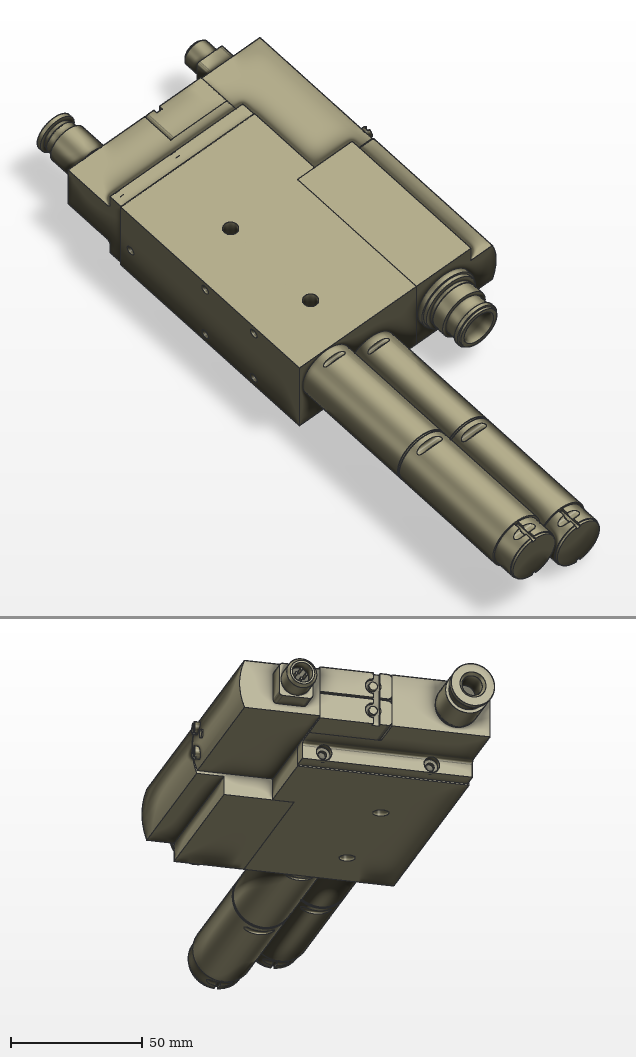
import cadquery as cq
import math


total_length = 277.2
thickness = 36.0
total_width = 101.2

housing_start_x = 54.3
housing_end_x = 157.5
housing_width = 68.0
mount_hole_d = 6.0
mount_hole_xs = (89.8, 135.8)
mount_hole_y = 24.7
side_hole_d = 4.0
side_hole_depth = 5.5
side_hole_xs = (103.0, 131.0)
side_hole_z = 13.9
single_side_hole_x = 60.2
single_side_hole_z = -3.5

face_x = 23.5
cap_inset = 0.5
stem_thickness = 21.0
flange_x = 47.7
neck_fillet = 1.7
screw_hole_d = 6.0
screw_hole_depth = 2.5
screw_socket_d = 3.3
screw_socket_depth = 1.7
screw_z = 14.0
upper_screw_ys = (4.5, 32.7)
lower_screw_ys = (16.5, 59.3)

recess_end_x = 38.5
recess_y = 39.5
insert_corner_r = 1.7
insert_slot = 0.8
insert_slot_depth = 1.5
clamp_groove_y = 45.5
clamp_groove_width = 2.8
clamp_groove_depth = 1.7
clamp_screw_d = 6.0
clamp_pin_d = 3.3
clamp_screw_y = 46.8
clamp_screw_z = 5.0

fitting_y = 14.0
fitting_d = 17.2
fitting_neck_d = 14.5
fitting_groove_d = 13.3
fitting_root_d = 16.4
fitting_flange_end_x = 2.0
fitting_groove_end_x = 4.0
fitting_neck_end_x = 7.8
fitting_body_end_x = 22.0
fitting_bore_d = 8.0
fitting_bore_depth = 11.0
fitting_mouth_chamfer = 1.0

side_edge_y = 97.9
side_wall_y = 99.8
module_end_x = 88.1
module_thickness = 19.5
plug_y = 79.8
plug_base_size = 13.3
plug_base_start_x = 15.2
plug_base_fillet = 1.5
plug_tip_x = 6.5
plug_d = 12.0
plug_tip_chamfer = 1.0
plug_bore_d = 8.0
plug_bore_depth = 5.5
plug_pin_d = 1.0
plug_pin_circle_r = 2.0
plug_pin_count = 4
plug_pin_length = 4.2
button_d = 5.0
button_x = 82.0
button_z = 5.0
button_slot = 1.7
button_slot_depth = 0.8
lamp_d = 3.3
lamp_x = 75.0
lamp_height = 0.5

drive_start_x = 89.0
bar_thickness = 21.0
block_start_y = 59.3
block_end_y = 87.0
socket_y = 73.2
socket_steps = (
    (26.5, 2.5),
    (25.0, 1.7),
    (21.0, 1.7),
    (21.5, 5.8),
    (18.3, 5.8),
    (20.0, 1.7),
    (18.3, 1.0),
)
socket_bore_d = 15.0
socket_bore_depth = 8.3

tube_d = 23.8
tube_centres = ((13.5, 5.5), (36.0, -5.5))
tube_joint_x = 212.0
tube_joint_width = 0.8
tube_joint_depth = 0.3
tube_end_d = 22.2
tube_end_x = 267.0
tube_rim_width = 1.0
tube_rim_depth = 0.42
tube_notches = (
    (162.2, 2.2, 1.25),
    (217.0, 3.3, 1.7),
    (271.7, 4.2, 2.08),
)
end_slot_width = 1.7
end_slot_depth = 1.5


def block(x0, x1, y0, y1, z0, z1):
    return cq.Workplane("XY").box(x1 - x0, y1 - y0, z1 - z0, centered=False).translate((x0, y0, z0))


def level_block(x0, x1, y0, y1, height):
    """Block centred on Z = 0."""
    return block(x0, x1, y0, y1, -height / 2, height / 2)


def rod_x(x0, x1, y, z, diameter):
    return cq.Workplane("YZ", origin=(x0, y, z)).circle(diameter / 2).extrude(x1 - x0)


def rod_y(y0, y1, x, z, diameter):
    return cq.Workplane("XZ", origin=(x, y0, z)).circle(diameter / 2).extrude(y0 - y1)


def make_housing():
    body = level_block(housing_start_x, housing_end_x, 0, housing_width, thickness)
    body = body.cut(level_block(drive_start_x, housing_end_x, block_start_y, housing_width, thickness))
    for x in mount_hole_xs:
        hole = cq.Workplane("XY", origin=(x, mount_hole_y, -thickness / 2))
        body = body.cut(hole.circle(mount_hole_d / 2).extrude(thickness))
    side_holes = [(x, z) for x in side_hole_xs for z in (-side_hole_z, side_hole_z)]
    side_holes.append((single_side_hole_x, single_side_hole_z))
    for x, z in side_holes:
        body = body.cut(rod_y(0, side_hole_depth, x, z, side_hole_d))
    return body


def make_fitting():
    steps = (
        (0, fitting_flange_end_x, fitting_d),
        (fitting_flange_end_x, fitting_groove_end_x, fitting_groove_d),
        (fitting_groove_end_x, fitting_neck_end_x, fitting_neck_d),
        (fitting_neck_end_x, fitting_body_end_x, fitting_d),
        (fitting_body_end_x, face_x, fitting_root_d),
    )
    fitting = rod_x(0, face_x, fitting_y, 0, fitting_groove_d)
    for x0, x1, diameter in steps:
        fitting = fitting.union(rod_x(x0, x1, fitting_y, 0, diameter))
    fitting = fitting.cut(rod_x(0, fitting_bore_depth, fitting_y, 0, fitting_bore_d))
    mouth_edge = cq.selectors.RadiusNthSelector(0)
    return fitting.faces("<X").edges(mouth_edge).chamfer(fitting_mouth_chamfer)


def make_end_cap():
    flange_thickness = thickness - 2 * cap_inset
    stem = level_block(face_x, housing_start_x, cap_inset, housing_width, stem_thickness)
    flange = level_block(flange_x, housing_start_x, cap_inset, housing_width, flange_thickness)
    cap = stem.union(flange)
    stem_z = stem_thickness / 2
    for z in (-stem_z, stem_z):
        corner = cq.selectors.NearestToPointSelector((flange_x, housing_width / 2, z))
        cap = cap.edges(corner).fillet(neck_fillet)
    cap = cap.cut(level_block(face_x, recess_end_x, recess_y, housing_width, stem_thickness))
    screws = [(y, screw_z) for y in upper_screw_ys] + [(y, -screw_z) for y in lower_screw_ys]
    socket_x = flange_x + screw_hole_depth
    for y, z in screws:
        cap = cap.cut(rod_x(flange_x - neck_fillet, socket_x, y, z, screw_hole_d))
        cap = cap.cut(rod_x(socket_x, socket_x + screw_socket_depth, y, z, screw_socket_d))
    return cap.union(make_fitting())


def make_insert():
    insert = level_block(face_x, recess_end_x, recess_y, housing_width, stem_thickness)
    slot_end_x = face_x + insert_slot_depth
    insert = insert.cut(level_block(face_x, slot_end_x, recess_y, housing_width, insert_slot))
    insert = insert.edges("|X and <Y").fillet(insert_corner_r)
    groove_end_x = face_x + clamp_groove_depth
    groove_y0 = clamp_groove_y - clamp_groove_width / 2
    groove_y1 = clamp_groove_y + clamp_groove_width / 2
    insert = insert.cut(level_block(face_x, groove_end_x, groove_y0, groove_y1, stem_thickness))
    for z in (-clamp_screw_z, clamp_screw_z):
        insert = insert.cut(rod_x(face_x, groove_end_x, clamp_screw_y, z, clamp_screw_d))
        insert = insert.union(rod_x(face_x, groove_end_x, clamp_screw_y, z, clamp_pin_d))
    return insert


def bulged_bar(x0, x1, inner_y, height):
    """Bar along X whose outer side is a shallow arc."""
    half = height / 2
    profile = cq.Workplane("YZ", origin=(x0, 0, 0)).moveTo(inner_y, -half).lineTo(side_edge_y, -half)
    profile = profile.threePointArc((side_wall_y, 0), (side_edge_y, half)).lineTo(inner_y, half)
    return profile.close().extrude(x1 - x0)


def make_plug():
    half = plug_base_size / 2
    base = level_block(plug_base_start_x, face_x, plug_y - half, plug_y + half, plug_base_size)
    base = base.edges("|X").fillet(plug_base_fillet)
    tip = rod_x(plug_tip_x, plug_base_start_x, plug_y, 0, plug_d)
    tip = tip.faces("<X").chamfer(plug_tip_chamfer)
    bore_end_x = plug_tip_x + plug_bore_depth
    tip = tip.cut(rod_x(plug_tip_x, bore_end_x, plug_y, 0, plug_bore_d))
    for i in range(plug_pin_count):
        angle = 2 * math.pi * i / plug_pin_count
        y = plug_y + plug_pin_circle_r * math.cos(angle)
        z = plug_pin_circle_r * math.sin(angle)
        tip = tip.union(rod_x(bore_end_x - plug_pin_length, bore_end_x, y, z, plug_pin_d))
    return base.union(tip)


def make_control_module():
    module = bulged_bar(face_x, module_end_x, housing_width, module_thickness)
    module = module.union(make_plug())
    for z in (-button_z, button_z):
        button = rod_y(side_edge_y, total_width, button_x, z, button_d)
        x0 = button_x - button_slot / 2
        x1 = button_x + button_slot / 2
        z0 = z - button_d / 2
        slot = block(x0, x1, total_width - button_slot_depth, total_width, z0, z0 + button_d)
        module = module.union(button.cut(slot))
    return module.union(rod_y(side_edge_y, side_wall_y + lamp_height, lamp_x, 0, lamp_d))


def make_drive_unit():
    bar = bulged_bar(drive_start_x, housing_end_x, block_start_y, bar_thickness)
    unit = bar.union(level_block(drive_start_x, housing_end_x, block_start_y, block_end_y, thickness))
    x = housing_end_x
    for diameter, length in socket_steps:
        unit = unit.union(rod_x(x, x + length, socket_y, 0, diameter))
        x += length
    return unit.cut(rod_x(x - socket_bore_depth, x, socket_y, 0, socket_bore_d))


def ring_groove(x, width, diameter, depth):
    ring = rod_x(x, x + width, 0, 0, diameter)
    return ring.cut(rod_x(x, x + width, 0, 0, diameter - 2 * depth))


def round_notch(x, width, depth):
    """Cutter across the top of a tube, with an arc-shaped bottom."""
    top = tube_d / 2
    profile = cq.Workplane("XZ").moveTo(x - width / 2, top)
    profile = profile.threePointArc((x, top - depth), (x + width / 2, top)).close()
    return profile.extrude(top, both=True)


def make_tube(y, z):
    tube = rod_x(housing_end_x, tube_end_x, 0, 0, tube_d)
    tube = tube.union(rod_x(tube_end_x, total_length, 0, 0, tube_end_d))
    tube = tube.cut(ring_groove(tube_joint_x, tube_joint_width, tube_d, tube_joint_depth))
    tube = tube.cut(ring_groove(total_length - tube_rim_width, tube_rim_width, tube_end_d, tube_rim_depth))
    cutters = [round_notch(*notch) for notch in tube_notches]
    half = end_slot_width / 2
    end_top = tube_end_d / 2
    cutters.append(block(tube_end_x, total_length, -half, half, end_top - end_slot_depth, end_top))
    for cutter in cutters:
        tube = tube.cut(cutter).cut(cutter.mirror("XY"))
    return tube.translate((0, y, z))


housing = make_housing()
end_cap = make_end_cap()
insert = make_insert()
control_module = make_control_module()
drive_unit = make_drive_unit()
tubes = [make_tube(y, z) for y, z in tube_centres]

bodies = [housing, end_cap, insert, control_module, drive_unit, *tubes]
result = cq.Compound.makeCompound([body.val() for body in bodies])